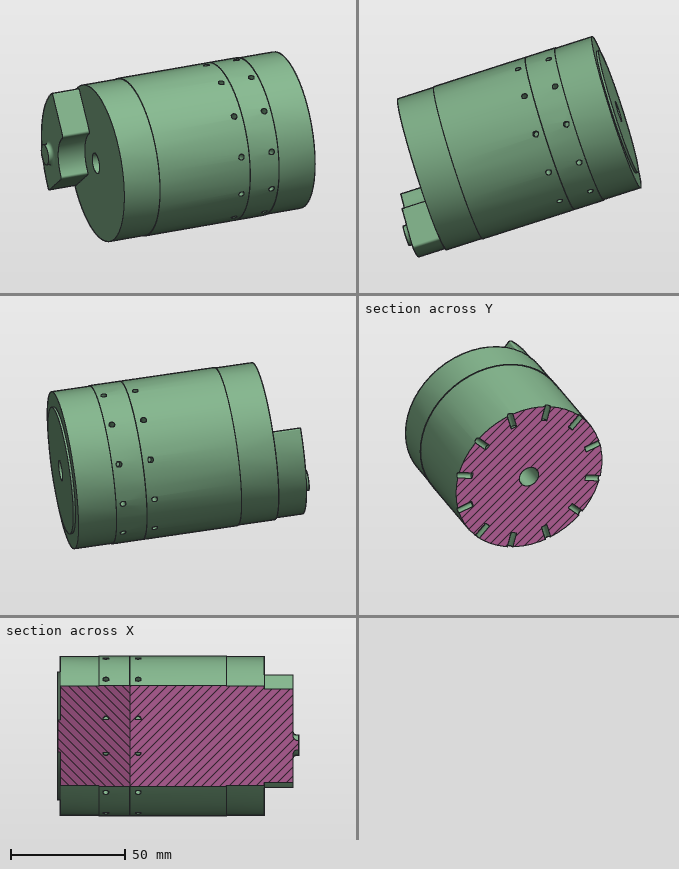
import cadquery as cq
import math


sleeve_radius = 35.0
end_radius = 34.75
rear_disc_radius = 28.0
bore_diameter = 9.0

front_end_length = 16.65
housing_length = 58.9
rotor_band_length = 13.5
rotor_end_length = 16.95
rear_disc_thickness = 1.0

joint_gap = 0.1
joint_gap_depth = 3.0

hole_count = 12
hole_pitch = 360.0 / hole_count
hole_diameter = 2.5
hole_depth = 7.0
housing_hole_offset = 3.7
rotor_hole_offset = 10.4

block_outer_radius = 34.0
block_inner_radius = 13.5
block_height = 12.5
block_start_angle = 130.0
block_end_angle = 220.0
block_side_offset = 1.5
block_corner_radius = 1.0

stub_radius = 4.5
stub_height = 2.5
stub_root_fillet = 1.5
stub_centre_radius = 23.5
stub_angle = 190.0

joint_y = housing_length
rotor_band_end_y = joint_y + rotor_band_length
rotor_end_y = rotor_band_end_y + rotor_end_length


def disc(radius, start_y, end_y):
    """Solid cylinder about the Y axis between two Y positions."""
    return cq.Workplane("XZ", origin=(0, start_y, 0)).circle(radius).extrude(start_y - end_y)


def bore(start_y, end_y):
    return disc(bore_diameter / 2, start_y, end_y)


def cut_radial_holes(body, y):
    """Cut a ring of blind radial holes, the first half a pitch away from X."""
    for index in range(hole_count):
        angle = math.radians((index + 0.5) * hole_pitch)
        outward = cq.Vector(math.cos(angle), 0, math.sin(angle))
        floor = outward * (sleeve_radius - hole_depth) + cq.Vector(0, y, 0)
        hole = cq.Solid.makeCylinder(hole_diameter / 2, 2 * hole_depth, floor, outward)
        body = body.cut(cq.Workplane(hole))
    return body


def side_point(radius, angle, offset):
    """Point at a radius on a line parallel to the ray at angle, shifted sideways."""
    direction = math.radians(angle + math.degrees(math.asin(offset / radius)))
    return radius * math.cos(direction), radius * math.sin(direction)


def polar_point(radius, angle):
    direction = math.radians(angle)
    return radius * math.cos(direction), radius * math.sin(direction)


def make_connector_block():
    middle_angle = (block_start_angle + block_end_angle) / 2
    return (
        cq.Workplane("XZ")
        .moveTo(*side_point(block_inner_radius, block_start_angle, -block_side_offset))
        .lineTo(*side_point(block_outer_radius, block_start_angle, -block_side_offset))
        .threePointArc(
            polar_point(block_outer_radius, middle_angle),
            side_point(block_outer_radius, block_end_angle, block_side_offset),
        )
        .lineTo(*side_point(block_inner_radius, block_end_angle, block_side_offset))
        .threePointArc(
            polar_point(block_inner_radius, middle_angle),
            side_point(block_inner_radius, block_start_angle, -block_side_offset),
        )
        .close()
        .extrude(block_height)
        .edges("|Y")
        .fillet(block_corner_radius)
    )


def make_connector_stub():
    """Revolved stub; its profile is drawn as (radius, height), then turned to face -Y."""
    root_radius = stub_radius + stub_root_fillet
    diagonal = stub_root_fillet * math.sqrt(0.5)
    stub_x, stub_z = polar_point(stub_centre_radius, stub_angle)
    return (
        cq.Workplane("XY")
        .lineTo(root_radius, 0)
        .threePointArc(
            (root_radius - diagonal, stub_root_fillet - diagonal),
            (stub_radius, stub_root_fillet),
        )
        .lineTo(stub_radius, stub_height)
        .lineTo(0, stub_height)
        .close()
        .revolve(360, (0, 0, 0), (0, 1, 0))
        .rotate((0, 0, 0), (0, 0, 1), 180)
        .translate((stub_x, -block_height, stub_z))
    )


def make_housing():
    rim_y = joint_y - joint_gap
    body = disc(end_radius, 0, front_end_length)
    body = body.union(disc(sleeve_radius, front_end_length, rim_y))
    body = body.union(disc(sleeve_radius - joint_gap_depth, rim_y, joint_y))
    body = body.cut(bore(0, joint_y))
    body = cut_radial_holes(body, joint_y - housing_hole_offset)
    return body.union(make_connector_block()).union(make_connector_stub())


def make_rotor():
    rear_y = rotor_end_y + rear_disc_thickness
    body = disc(sleeve_radius, joint_y, rotor_band_end_y)
    body = body.union(disc(end_radius, rotor_band_end_y, rotor_end_y))
    body = body.union(disc(rear_disc_radius, rotor_end_y, rear_y))
    body = body.cut(bore(joint_y, rear_y))
    return cut_radial_holes(body, joint_y + rotor_hole_offset)


housing = make_housing()
rotor = make_rotor()

result = cq.Compound.makeCompound([housing.val(), rotor.val()])